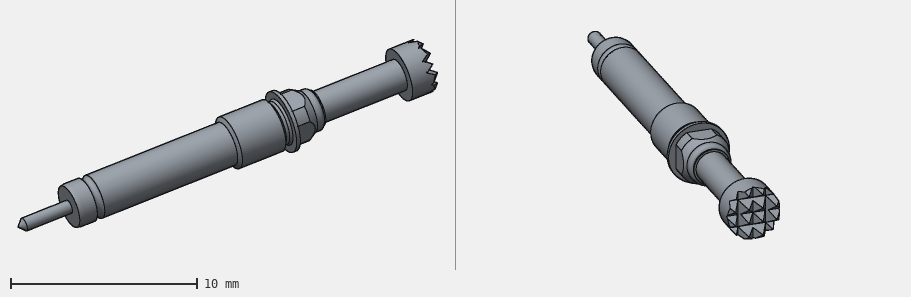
import cadquery as cq

total_length = 25.15

pin_radius = 0.38
pin_cone_length = 0.38

barrel_radius = 2.5 / 2
barrel_rear = 3.15
rear_chamfer_length = 0.23
rear_chamfer_depth = 0.05

groove_rear = 4.2
groove_width = 0.45
groove_depth = 0.15

collar_radius = 3.0 / 2
collar_rear = 12.83
collar_rear_chamfer = 0.15
collar_front = 15.82
collar_front_chamfer = 0.18

flange_radius = 3.5 / 2
flange_rear = 16.17
flange_thickness = 0.23
relief_length = 0.15
relief_radius = 1.33

wrench_radius = collar_radius
wrench_cone_start = 17.23
wrench_flat_distance = 2.65 / 2

nose_radius = 1.2
nose_rear = 17.75
nose_shoulder = 18.05
nose_rounding = 0.28
lip_radius = 1.03
lip_rear = 18.28
lip_front = 18.35

plunger_radius = 0.9
head_radius = collar_radius
head_rear = 23.45

inner_tip = 0.4
outer_tip = 1.18
center_groove_depth = 0.53
side_groove_depth = 0.7
outer_slope_depth = 0.4
cutter_clearance = 0.25


def make_shaft():
    """Everything of round section, as one revolved profile of (Y, radius)."""
    groove_front = groove_rear + groove_width
    groove_middle = groove_rear + groove_width / 2
    flange_front = flange_rear + flange_thickness
    profile = (
        cq.Workplane("YZ")
        .moveTo(0, 0)
        .lineTo(pin_cone_length, pin_radius)
        .lineTo(barrel_rear, pin_radius)
        .lineTo(barrel_rear, barrel_radius - rear_chamfer_depth)
        .lineTo(barrel_rear + rear_chamfer_length, barrel_radius)
        .lineTo(groove_rear, barrel_radius)
        .threePointArc((groove_middle, barrel_radius - groove_depth), (groove_front, barrel_radius))
        .lineTo(collar_rear, barrel_radius)
        .lineTo(collar_rear + collar_rear_chamfer, collar_radius)
        .lineTo(collar_front - collar_front_chamfer, collar_radius)
        .lineTo(collar_front, barrel_radius)
        .lineTo(flange_rear - relief_length, barrel_radius)
        .lineTo(flange_rear, relief_radius)
        .lineTo(flange_rear, flange_radius)
        .lineTo(flange_front, flange_radius)
        .lineTo(flange_front, wrench_radius)
        .lineTo(wrench_cone_start, wrench_radius)
        .lineTo(nose_rear, nose_radius)
        .lineTo(nose_shoulder, nose_radius)
        .radiusArc((lip_rear, lip_radius), nose_rounding)
        .lineTo(lip_front, lip_radius)
        .lineTo(lip_front, plunger_radius)
        .lineTo(head_rear, plunger_radius)
        .lineTo(head_rear, head_radius)
        .lineTo(total_length, head_radius)
        .lineTo(total_length, 0)
        .close()
    )
    return profile.revolve(360, (0, 0, 0), (1, 0, 0))


def make_flats_cutter():
    """Square ring whose inner faces are the four wrench flats."""
    start = flange_rear + flange_thickness
    length = nose_rear - start
    outer_side = 2 * (wrench_radius + cutter_clearance)
    flat_side = 2 * wrench_flat_distance
    return (
        cq.Workplane("XZ", origin=(0, start, 0))
        .rect(outer_side, outer_side)
        .rect(flat_side, flat_side)
        .extrude(-length)
    )


def make_tooth_cutter():
    """Prism with a zigzag lower side that leaves four tooth ridges running along Z."""
    side_groove = (inner_tip + outer_tip) / 2
    right_half = [
        (inner_tip, total_length),
        (side_groove, total_length - side_groove_depth),
        (outer_tip, total_length),
        (head_radius, total_length - outer_slope_depth),
    ]
    left_half = [(-x, y) for x, y in reversed(right_half)]
    zigzag = left_half + [(0, total_length - center_groove_depth)] + right_half
    above_tips = total_length + cutter_clearance
    outline = [(-head_radius, above_tips)] + zigzag + [(head_radius, above_tips)]
    return cq.Workplane("XY").polyline(outline).close().extrude(head_radius, both=True)


cutter_along_z = make_tooth_cutter()
cutter_along_x = cutter_along_z.rotate((0, 0, 0), (0, 1, 0), 90)

result = make_shaft().cut(make_flats_cutter()).cut(cutter_along_z).cut(cutter_along_x)